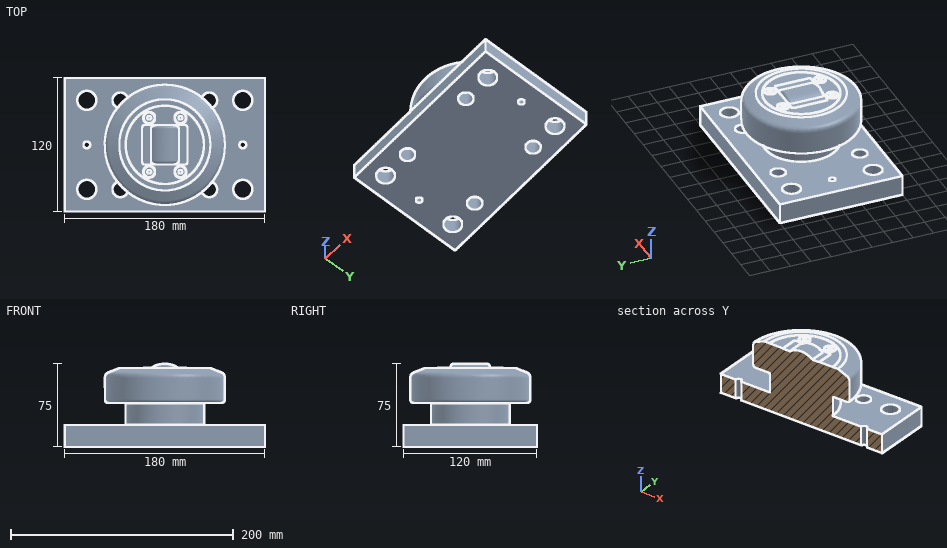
import cadquery as cq
import math

plate_length = 180.0
plate_width = 120.0
plate_thickness = 20.0

hole_row_spacing = 80.0
outer_hole_spacing = 140.0
outer_hole_diameter = 17.0
inner_hole_spacing = 80.0
inner_hole_diameter = 13.9
pin_hole_diameter = 6.0

stem_diameter = 71.0
stem_chamfer = 0.5
roller_diameter = 108.0
roller_bottom = 39.6
roller_top = 71.1
roller_face_diameter = 81.9
roller_cone_angle = 22.0
roller_top_fillet = 5.0
roller_bottom_fillet = 3.0

cap_diameter = 70.5
cap_groove_width = 0.2
cap_groove_depth = 0.4

pocket_length = 40.5
pocket_width = 35.5
pocket_depth = 0.4
pocket_corner_radius = 2.0
total_height = 75.0
side_roller_visible_width = 25.2
side_roller_length = pocket_width
side_roller_fillet = 3.2

screw_spacing_x = 28.0
screw_spacing_y = 48.5
screw_head_diameter = 9.7
screw_head_height = 0.4
screw_recess_diameter = 10.8
screw_recess_depth = 0.4
screw_socket_diameter = 3.8
screw_socket_depth = 1.0


def cylinder(diameter, bottom, top):
    return cq.Workplane("XY").workplane(offset=bottom).circle(diameter / 2).extrude(top - bottom)


def make_plate():
    plate = cq.Workplane("XY").box(plate_length, plate_width, plate_thickness, centered=(True, True, False))

    def drill(plate, x_spacing, y_spacing, rows, diameter):
        top = plate.faces(">Z").workplane(origin=(0, 0, plate_thickness))
        return top.rarray(x_spacing, y_spacing, 2, rows).hole(diameter)

    plate = drill(plate, outer_hole_spacing, hole_row_spacing, 2, outer_hole_diameter)
    plate = drill(plate, inner_hole_spacing, hole_row_spacing, 2, inner_hole_diameter)
    return drill(plate, outer_hole_spacing, hole_row_spacing, 1, pin_hole_diameter)


def make_stem():
    stem = cylinder(stem_diameter, plate_thickness, roller_bottom)
    return stem.faces("<Z or >Z").edges().chamfer(stem_chamfer)


def make_main_roller():
    """Cylinder with a shallow conical shoulder and rounded outer rims."""
    cone_run = (roller_diameter - roller_face_diameter) / 2
    cone_drop = cone_run * math.tan(math.radians(roller_cone_angle))
    roller = cylinder(roller_diameter, roller_bottom, roller_top)
    roller = roller.faces(">Z").edges().chamfer(cone_drop, cone_run)
    rim_height = roller_top - cone_drop
    rim = cq.selectors.BoxSelector(
        (-roller_diameter, -roller_diameter, rim_height - 0.2),
        (roller_diameter, roller_diameter, rim_height + 0.2),
        boundingbox=True,
    )
    roller = roller.edges(rim).fillet(roller_top_fillet)
    return roller.faces("<Z").edges().fillet(roller_bottom_fillet)


def make_cap_cuts():
    groove_bottom = roller_top - cap_groove_depth
    groove = cylinder(cap_diameter, groove_bottom, roller_top)
    groove = groove.cut(cylinder(cap_diameter - 2 * cap_groove_width, groove_bottom, roller_top))
    pocket = (
        cq.Workplane("XY")
        .workplane(offset=roller_top - pocket_depth)
        .rect(pocket_length, pocket_width)
        .extrude(pocket_depth)
        .edges("|Z")
        .fillet(pocket_corner_radius)
    )
    return groove.union(pocket)


def make_side_roller():
    """Cylinder lying along Y with rounded ends, mostly buried in the main roller."""
    rise = total_height - (roller_top - pocket_depth)
    radius = ((side_roller_visible_width / 2) ** 2 + rise**2) / (2 * rise)
    return (
        cq.Workplane("XZ")
        .center(0, total_height - radius)
        .circle(radius)
        .extrude(side_roller_length / 2, both=True)
        .faces("<Y or >Y")
        .edges()
        .fillet(side_roller_fillet)
    )


def add_screws(body):
    recess_bottom = roller_top - screw_recess_depth
    head_top = roller_top + screw_head_height
    recess = cylinder(screw_recess_diameter, recess_bottom, roller_top)
    head = cylinder(screw_head_diameter, recess_bottom, head_top)
    socket = (
        cq.Workplane("XY")
        .workplane(offset=head_top)
        .polygon(6, screw_socket_diameter)
        .extrude(-screw_socket_depth)
    )
    for x in (-screw_spacing_x / 2, screw_spacing_x / 2):
        for y in (-screw_spacing_y / 2, screw_spacing_y / 2):
            place = (x, y, 0)
            body = body.cut(recess.translate(place))
            body = body.union(head.translate(place))
            body = body.cut(socket.translate(place))
    return body


body = make_plate().union(make_stem()).union(make_main_roller())
body = body.cut(make_cap_cuts()).union(make_side_roller())
result = add_screws(body)